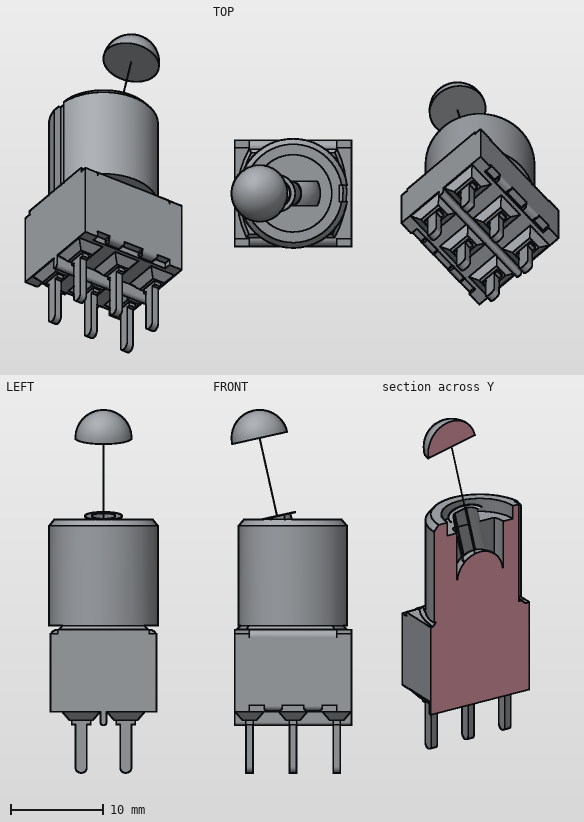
import cadquery as cq
import math


TOTAL_HEIGHT = 39.35

HOUSING_LENGTH = 12.67
CORE_WIDTH = 9.88
SHEET = 0.83
HOUSING_WIDTH = CORE_WIDTH + 2 * SHEET
HOUSING_BOTTOM = 6.6
HOUSING_TOP = 15.55
POST_LENGTH = 1.6
POST_DROP = 0.47
POST_TOP = HOUSING_TOP - POST_DROP
WALL_LENGTH = HOUSING_LENGTH - 2 * POST_LENGTH
WALL_BOTTOM = 7.3
WALL_ROLL = SHEET

TAB_SPACING = 4.33
TAB_LENGTH = 1.95
TAB_BOTTOM = 6.75
TAB_CORNER = 0.2
TAB_BEND = 0.47

BUSHING_BOTTOM = 15.98
PAD_WIDTH = 9.6
PAD_STRAIGHT = 9.52
PAD_LENGTH = 11.9
PAD_SKEW = 0.28
PAD_HEIGHT = BUSHING_BOTTOM - HOUSING_TOP
PAD_CHAMFER = 0.4

BUSHING_DIAMETER = 11.85
BUSHING_TOP = 27.45
BUSHING_CHAMFER_RADIAL = 0.6
BUSHING_CHAMFER_HEIGHT = 0.7
BORE_DIAMETER = 8.4
BORE_DEPTH = 1.55
KEYWAY_WIDTH = 1.77
KEYWAY_FLOOR = 5.0
SLOT_WIDTH = 2.65

TILT = 12.6
PIVOT_HEIGHT = 20.05
BALL_RADIUS = 2.95
SHAFT_RADIUS = 1.5
SHAFT_FLATS = 2.55
SHELL = 0.08
COLLAR_RADIUS = 2.0
COLLAR_DISTANCE = 8.0
KNOB_RADIUS = 3.05
STEM_DIAMETER = 0.05
KNOB_DISTANCE = (TOTAL_HEIGHT - KNOB_RADIUS - PIVOT_HEIGHT) / math.cos(math.radians(TILT))

PIN_PITCH = 4.72
ROW_SPACING = 4.85
PIN_THICKNESS = 0.8
PIN_WIDTH = 1.25
SHOULDER_WIDTH = 2.1
SHOULDER_BOTTOM = 5.25
SEAL_LENGTH = 3.05
SEAL_WIDTH = 4.1
SEAL_BOTTOM = 5.7
SEAL_INSET = 0.8
BARRIER_THICKNESS = 0.65
BARRIER_BOTTOM = 5.15


def block(length, width, bottom, top):
    """Box centred on the Z axis between two heights."""
    return cq.Workplane("XY", origin=(0, 0, bottom)).rect(length, width).extrude(top - bottom)


def cylinder(diameter, bottom, top):
    """Cylinder on the Z axis between two heights."""
    return cq.Workplane("XY", origin=(0, 0, bottom)).circle(diameter / 2).extrude(top - bottom)


def rounded_blade(length, width, bottom, top):
    """Plate along X whose lower edge is a full round of the plate width."""
    half = width / 2
    return (
        cq.Workplane("YZ")
        .moveTo(-half, top)
        .lineTo(-half, bottom + half)
        .threePointArc((0, bottom), (half, bottom + half))
        .lineTo(half, top)
        .close()
        .extrude(length / 2, both=True)
    )


def make_tabs():
    tabs = (
        block(TAB_LENGTH, HOUSING_WIDTH, TAB_BOTTOM, WALL_BOTTOM)
        .edges("|Y and <Z").chamfer(TAB_CORNER)
        .faces("<Z").edges("|X").fillet(TAB_BEND)
    )
    offset = TAB_SPACING / 2
    return tabs.translate((-offset, 0, 0)).union(tabs.translate((offset, 0, 0)))


def make_housing():
    core = block(HOUSING_LENGTH, CORE_WIDTH, HOUSING_BOTTOM, HOUSING_TOP)
    walls = block(WALL_LENGTH, HOUSING_WIDTH, WALL_BOTTOM, HOUSING_TOP)
    walls = walls.faces(">Z").edges("|X").fillet(WALL_ROLL)
    housing = core.union(walls).union(make_tabs())
    post = block(POST_LENGTH, HOUSING_WIDTH, HOUSING_BOTTOM, POST_TOP)
    post_x = (HOUSING_LENGTH - POST_LENGTH) / 2
    for side in (-1, 1):
        housing = housing.union(post.translate((side * post_x, 0, 0)))
    return housing


def make_pad():
    x, y = PAD_STRAIGHT / 2, PAD_WIDTH / 2
    end_x = PAD_LENGTH / 2
    end_shift = PAD_SKEW / 2
    return (
        cq.Workplane("XY", origin=(0, 0, HOUSING_TOP))
        .moveTo(-x - PAD_SKEW, -y)
        .lineTo(x - PAD_SKEW, -y)
        .threePointArc((end_x - end_shift, 0), (x, y))
        .lineTo(-x, y)
        .threePointArc((-end_x - end_shift, 0), (-x - PAD_SKEW, -y))
        .close()
        .extrude(PAD_HEIGHT)
        .faces(">Z").chamfer(PAD_CHAMFER)
    )


def make_bushing():
    bushing = cylinder(BUSHING_DIAMETER, BUSHING_BOTTOM, BUSHING_TOP)
    bushing = bushing.faces(">Z").chamfer(BUSHING_CHAMFER_HEIGHT, BUSHING_CHAMFER_RADIAL)
    bushing = bushing.cut(cylinder(BORE_DIAMETER, BUSHING_TOP - BORE_DEPTH, BUSHING_TOP))
    keyway = block(BUSHING_DIAMETER, KEYWAY_WIDTH, BUSHING_BOTTOM, BUSHING_TOP)
    bushing = bushing.cut(keyway.translate((KEYWAY_FLOOR + BUSHING_DIAMETER / 2, 0, 0)))
    slot = cylinder(2 * BALL_RADIUS, PIVOT_HEIGHT, BUSHING_TOP)
    slot = slot.intersect(block(2 * BALL_RADIUS, SLOT_WIDTH, PIVOT_HEIGHT, BUSHING_TOP))
    return bushing.cut(slot)


def flatted_rod(radius, flats, top):
    """Round rod with two flats facing Y, starting at the pivot."""
    return cylinder(2 * radius, 0, top).intersect(block(2 * radius, flats, 0, top))


def make_lever():
    """Lever standing upright with its pivot at the origin."""
    shaft = flatted_rod(SHAFT_RADIUS, SHAFT_FLATS, COLLAR_DISTANCE)
    collar = cylinder(2 * COLLAR_RADIUS, COLLAR_DISTANCE - SHELL, COLLAR_DISTANCE)
    hollow = flatted_rod(SHAFT_RADIUS - SHELL, SHAFT_FLATS - 2 * SHELL, COLLAR_DISTANCE)
    ball = cq.Workplane("XY").sphere(BALL_RADIUS)
    stem = cylinder(STEM_DIAMETER, 0, KNOB_DISTANCE + KNOB_RADIUS / 2)
    knob = cq.Workplane("XY").sphere(KNOB_RADIUS)
    knob = knob.intersect(block(2 * KNOB_RADIUS, 2 * KNOB_RADIUS, 0, KNOB_RADIUS))
    knob = knob.translate((0, 0, KNOB_DISTANCE))
    return shaft.union(collar).cut(hollow).union(ball).union(stem).union(knob)


def make_pin():
    """One pin with its shoulder and tapered seal, on the Z axis."""
    seal_depth = HOUSING_BOTTOM - SEAL_BOTTOM
    seal_taper = math.degrees(math.atan(SEAL_INSET / seal_depth))
    seal = (
        cq.Workplane("XY", origin=(0, 0, HOUSING_BOTTOM))
        .rect(SEAL_LENGTH, SEAL_WIDTH)
        .extrude(-seal_depth, taper=seal_taper)
    )
    shoulder = block(PIN_THICKNESS, SHOULDER_WIDTH, SHOULDER_BOTTOM, SEAL_BOTTOM)
    blade = rounded_blade(PIN_THICKNESS, PIN_WIDTH, 0, HOUSING_BOTTOM)
    return seal.union(shoulder).union(blade)


lever = make_lever().rotate((0, 0, 0), (0, 1, 0), -TILT).translate((0, 0, PIVOT_HEIGHT))

barrier = rounded_blade(HOUSING_LENGTH, BARRIER_THICKNESS, BARRIER_BOTTOM, HOUSING_BOTTOM)
result = make_housing().union(make_pad()).union(make_bushing()).union(lever).union(barrier)
pin = make_pin()
for column in (-1, 0, 1):
    for row in (-1, 1):
        result = result.union(pin.translate((column * PIN_PITCH, row * ROW_SPACING / 2, 0)))